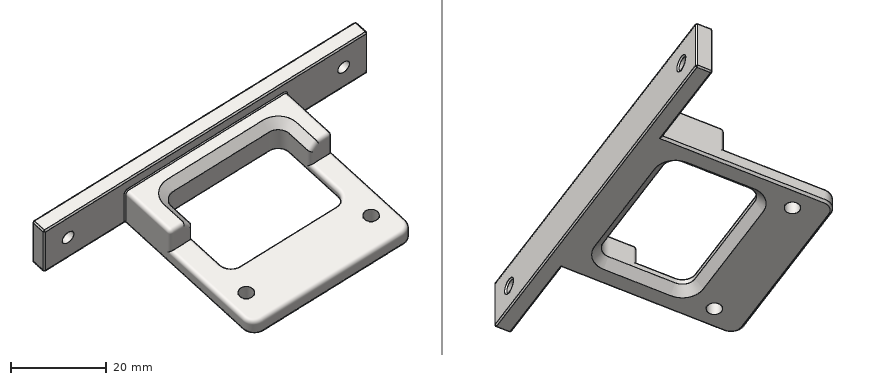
import cadquery as cq

bar_length = 88
bar_thickness = 4.0
bar_height = 13.0
bar_edge_chamfer = 0.35
bar_hole_diameter = 3.2
bar_hole_chamfer = 0.35
bar_hole_spacing = 75.0

total_depth = 46.0
plate_width = 44
plate_thickness = 4.0
plate_corner_radius = 3.0
edge_round = 1.0
bottom_chamfer = 0.5
plate_hole_diameter = 3.4
plate_hole_x = 37.9
plate_hole_spacing = 34.0

arm_height = 10.0
arm_end_x = 19.0
joint_chamfer = 0.3
selection_margin = 0.01

opening_start_x = 9.1
opening_end_x = 31.1
opening_width = 32.0
opening_radius = 3.0
opening_chamfer = 2.0


def block(start_x, end_x, width, height):
    """Box standing on z = 0 and centred on y = 0."""
    return cq.Workplane("XY").box(
        end_x - start_x, width, height, centered=(False, True, False)
    ).translate((start_x, 0, 0))


def opening_cutter():
    """Opening prism, taller than the arms, flared along its bottom rim."""
    cutter = block(opening_start_x, opening_end_x, opening_width, bar_height)
    cutter = cutter.edges("|Z").fillet(opening_radius)
    flare = (
        cutter.faces("<Z").wires().toPending().offset2D(opening_chamfer)
        .extrude(opening_chamfer, combine=False, taper=45)
    )
    return cutter.union(flare)


def make_bar():
    bar = block(0, bar_thickness, bar_length, bar_height)
    bar = bar.edges().chamfer(bar_edge_chamfer)
    hole_radius = bar_hole_diameter / 2
    for side in (-1, 1):
        hole = cq.Workplane("YZ").center(side * bar_hole_spacing / 2, bar_height / 2)
        bar = bar.cut(hole.circle(hole_radius).extrude(bar_thickness))
        countersink = hole.circle(hole_radius + bar_hole_chamfer).workplane(offset=bar_hole_chamfer)
        bar = bar.cut(countersink.circle(hole_radius).loft())
    return bar


def make_plate():
    plate = block(bar_thickness / 2, total_depth, plate_width, plate_thickness)
    plate = plate.edges("|Z and >X").fillet(plate_corner_radius)
    plate = plate.faces("<Z").edges("not <X").chamfer(bottom_chamfer)
    plate = plate.cut(opening_cutter())
    plate = plate.faces(">Z").edges("not <X").fillet(edge_round)
    hole_points = [(plate_hole_x, side * plate_hole_spacing / 2) for side in (-1, 1)]
    holes = cq.Workplane("XY").pushPoints(hole_points).circle(plate_hole_diameter / 2)
    return plate.cut(holes.extrude(plate_thickness))


def make_arms():
    arms = block(bar_thickness / 2, arm_end_x, plate_width, arm_height)
    arms = arms.faces("<Z").edges("|X").chamfer(bottom_chamfer)
    arms = arms.cut(opening_cutter())
    arms = arms.faces(">Z").edges("not (<X or >X or <Y or >Y)").chamfer(opening_chamfer)
    outer_top = arms.faces(">Z").edges("<Y or >Y")
    free_ends = arms.faces(">X").edges("not <Z")
    return arms.newObject(outer_top.vals() + free_ends.vals()).fillet(edge_round)


def chamfer_joint(body):
    """Fill the corner where the arms meet the inner face of the bar."""
    half_width = plate_width / 2
    corner = cq.selectors.BoxSelector(
        (bar_thickness - selection_margin, -half_width - selection_margin, bottom_chamfer + selection_margin),
        (bar_thickness + selection_margin, half_width + selection_margin, arm_height + selection_margin),
    )
    return body.edges(corner).chamfer(joint_chamfer)


result = chamfer_joint(make_bar().union(make_plate()).union(make_arms()))